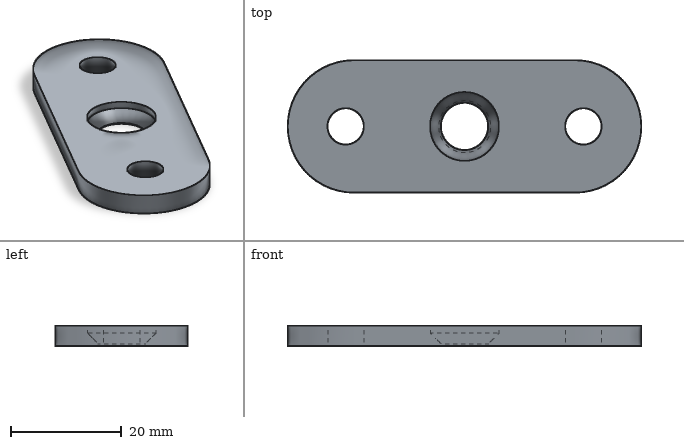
import cadquery as cq

length = 64.0
width = 24.0
thickness = 3.7

mount_spacing = 43.0
mount_diameter = 6.5

recess_diameter = 12.5
recess_depth = 1.3
throat_diameter = 8.5

recess_radius = recess_diameter / 2
throat_radius = throat_diameter / 2
cone_top = thickness - recess_depth
throat_height = cone_top - (recess_radius - throat_radius)
relief_radius = throat_radius + throat_height


def make_plate():
    return cq.Workplane("XY").slot2D(length, width).extrude(thickness)


def make_mount_holes():
    centers = cq.Workplane("XY").rarray(mount_spacing, 0.65, 2, 1)
    return centers.circle(mount_diameter / 2).extrude(thickness)


def make_center_hole():
    profile = [
        (0, 0),
        (relief_radius, 0),
        (throat_radius, throat_height),
        (recess_radius, cone_top),
        (recess_radius, thickness),
        (0, thickness),
    ]
    return cq.Workplane("XZ").polyline(profile).close().revolve(360, (0, 0), (0, 1))


result = make_plate().cut(make_mount_holes()).cut(make_center_hole())